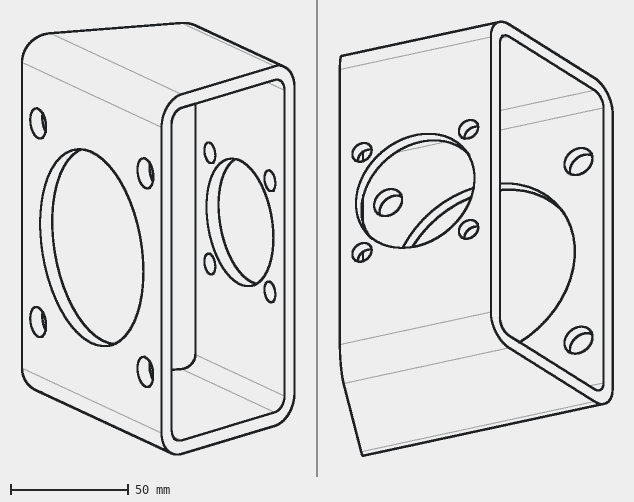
import cadquery as cq

height = 160.0
depth = 80.0
wall = 6.0
outer_radius = 12.0
inner_radius = outer_radius - wall
front_width = 115.0
back_width = 70.0

front_bore_diameter = 85.0
front_bolt_diameter = 13.0
front_bolt_spacing = 88.3
back_bore_diameter = 55.0
back_bolt_diameter = 9.0
back_bolt_spacing = 49.5

front_y = -depth / 2
back_y = depth / 2


def rounded_bar(size_y, size_z, radius):
    """Bar along X with rounded long edges."""
    return cq.Workplane("XY").box(front_width, size_y, size_z).edges("|X").fillet(radius)


def wall_cutter(outer_y, bore_diameter, bolt_diameter, bolt_spacing):
    """Central bore and four bolt holes, reaching two wall thicknesses either side of the outer face."""
    plane = cq.Workplane("XZ", origin=(0, outer_y, 0))
    bore = plane.circle(bore_diameter / 2).extrude(2 * wall, both=True)
    bolts = (
        plane.rect(bolt_spacing, bolt_spacing, forConstruction=True)
        .vertices()
        .circle(bolt_diameter / 2)
        .extrude(2 * wall, both=True)
    )
    return bore.union(bolts)


tube = rounded_bar(depth, height, outer_radius).cut(
    rounded_bar(depth - 2 * wall, height - 2 * wall, inner_radius)
)

mitre_envelope = (
    cq.Workplane("XY", origin=(0, 0, -height / 2))
    .polyline([
        (-front_width / 2, front_y),
        (front_width / 2, front_y),
        (back_width / 2, back_y),
        (-back_width / 2, back_y),
    ])
    .close()
    .extrude(height)
)

result = (
    tube.intersect(mitre_envelope)
    .cut(wall_cutter(front_y, front_bore_diameter, front_bolt_diameter, front_bolt_spacing))
    .cut(wall_cutter(back_y, back_bore_diameter, back_bolt_diameter, back_bolt_spacing))
)